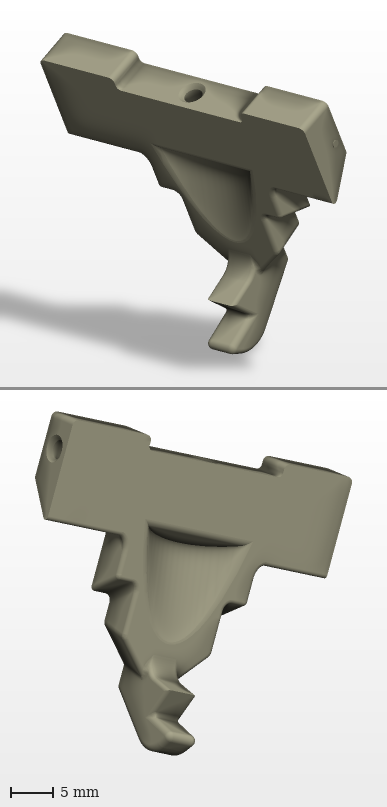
import cadquery as cq
import math

LEAN = 27.0
THICKNESS = 5.0
MID_Y = THICKNESS / 2

WING_LEFT = -21.2
WING_RIGHT = 19.25
WING_BACK_HEIGHT = 8.28
WING_FRONT_HEIGHT = WING_BACK_HEIGHT + THICKNESS
WING_CORNER = 0.75
WING_TO_STEM = 1.1

STEM_WIDTH = 18.9
STEM_FRONT_HEIGHT = 17.55
STEM_BACK_HEIGHT = STEM_FRONT_HEIGHT + THICKNESS * math.tan(math.radians(LEAN))
STEM_CORNER = 0.53
STEM_TO_NECK = 0.9

NECK_WIDTH = 12.8
NECK_BACK_HEIGHT = 23.65
FLANK_RISE = THICKNESS * math.tan(math.radians(9.0))
NECK_FRONT_HEIGHT = NECK_BACK_HEIGHT + FLANK_RISE
NECK_CORNER = 1.0

FRONT_ROUND = 0.53

HOOK_WIDTH = 4.2
ROOT = (0, -27.7)
TOOTH = (-5.75, -28.75)
NOTCH = (-3.45, -32.37)
TOE = (-9.3, -33.67)
HEEL = (-4.55, -37.53)
TAIL = (THICKNESS, -31.25)
HOOK_TOP = -24.35
ROOT_RADIUS = 2.5
NOTCH_RADIUS = 0.45
TOE_RADIUS = 0.75
HEEL_RADIUS = 4.3
UPPER_EDGE_ROUND = 0.5
LOWER_EDGE_ROUND = 0.75
HOOK_TO_NECK = 0.6

RECESS_CENTER = -0.25
RECESS_WIDTH = 19.3
RECESS_DEPTH = 1.8
RECESS_FILLET = 0.6

HOLE_DIAMETER = 2.27
COUNTERSINK_DIAMETER = 3.35
HOLE_DEPTH = 6.1
SIDE_HOLE_Z = -4.18

SCOOP_TOP = 10.5
SCOOP_END = 23.9
SCOOP_RADIUS = 8.85
SCOOP_ANGLE = math.radians(16.0)
SCOOP_ROUND = 0.97

DOT_DIAMETER = 0.95
DOT_HEIGHT = 0.12
DOT_Y = 3.8
DOT_Z = -5.8

FIND_REACH = 0.2


def side_prism(outline, x_start, x_end):
    """Extrude a closed (Y, Z) outline along X."""
    plane = cq.Workplane("YZ", origin=(x_start, 0, 0))
    return plane.polyline(outline).close().extrude(x_end - x_start)


def edges_near(body, x, y, z):
    """Select the edges whose middle lies at the given place."""
    target = cq.Vector(x, y, z)
    return body.newObject([e for e in body.edges().vals() if (e.Center() - target).Length < FIND_REACH])


def plate_section(front_height, back_height, x_start, x_end):
    """Slab of the plate whose bottom face slopes from front to back."""
    outline = [(0, 0), (THICKNESS, 0), (THICKNESS, -back_height), (0, -front_height)]
    return side_prism(outline, x_start, x_end)


def make_neck():
    """Tapered neck, swept backwards and upwards from the front face."""
    half = NECK_WIDTH / 2
    tip_half = HOOK_WIDTH / 4
    shoulder_z = -NECK_FRONT_HEIGHT
    tip_z = shoulder_z - (half - tip_half)
    outline = [
        (-half, -WING_FRONT_HEIGHT),
        (half, -WING_FRONT_HEIGHT),
        (half, shoulder_z),
        (tip_half, tip_z),
        (-tip_half, tip_z),
        (-half, shoulder_z),
    ]
    wire = cq.Wire.makePolygon([cq.Vector(x, 0, z) for x, z in outline], close=True)
    return cq.Workplane(cq.Solid.extrudeLinear(wire, [], cq.Vector(0, THICKNESS, FLANK_RISE)))


def make_plate():
    """Wings, stem and neck with their rounded outline and rounded lower front edges."""
    plate = plate_section(WING_FRONT_HEIGHT, WING_BACK_HEIGHT, WING_LEFT, WING_RIGHT)
    plate = plate.union(plate_section(STEM_FRONT_HEIGHT, STEM_BACK_HEIGHT, -STEM_WIDTH / 2, STEM_WIDTH / 2))
    plate = plate.union(make_neck())

    wing_bottom = -(WING_FRONT_HEIGHT + WING_BACK_HEIGHT) / 2
    stem_bottom = -(STEM_FRONT_HEIGHT + STEM_BACK_HEIGHT) / 2
    neck_bottom = -(NECK_FRONT_HEIGHT + NECK_BACK_HEIGHT) / 2
    corners = [
        (STEM_WIDTH, wing_bottom, WING_TO_STEM),
        (STEM_WIDTH, stem_bottom, STEM_CORNER),
        (NECK_WIDTH, stem_bottom, STEM_TO_NECK),
        (NECK_WIDTH, neck_bottom, NECK_CORNER),
    ]
    for width, z, radius in corners:
        for side in (-1, 1):
            plate = edges_near(plate, side * width / 2, MID_Y, z).fillet(radius)

    neck_tip = -NECK_FRONT_HEIGHT - (NECK_WIDTH / 2 - HOOK_WIDTH / 4)
    front_edges = plate.faces("<Y").edges().vals()
    lower_edges = [e for e in front_edges if neck_tip + FIND_REACH < e.Center().z < -WING_BACK_HEIGHT]
    return plate.newObject(lower_edges).fillet(FRONT_ROUND)


def round_hook_sides(hook, upper, radius):
    """Round the side edges of either the upper tooth or the rest of the hook."""
    picked = []
    for edge in hook.faces("<X or >X").edges().vals():
        middle = edge.Center()
        exposed = middle.y < THICKNESS - FIND_REACH and middle.z < HOOK_TOP - THICKNESS / 4
        on_tooth = middle.y < 0 and middle.z > (TOOTH[1] + NOTCH[1]) / 2 - FIND_REACH
        if exposed and on_tooth == upper:
            picked.append(edge)
    return hook.newObject(picked).fillet(radius)


def make_hook():
    """Two-toothed hook at the bottom of the neck."""
    outline = [(0, HOOK_TOP), ROOT, TOOTH, NOTCH, TOE, HEEL, TAIL, (THICKNESS, HOOK_TOP)]
    hook = side_prism(outline, -HOOK_WIDTH / 2, HOOK_WIDTH / 2)
    for corner, radius in ((ROOT, ROOT_RADIUS), (TOE, TOE_RADIUS), (HEEL, HEEL_RADIUS)):
        hook = edges_near(hook, 0, *corner).fillet(radius)
    hook = round_hook_sides(hook, True, UPPER_EDGE_ROUND)
    hook = round_hook_sides(hook, False, LOWER_EDGE_ROUND)
    return edges_near(hook, 0, *NOTCH).fillet(NOTCH_RADIUS)


def blend_hook(body):
    """Fillet the inside corners between the hook sides and the neck flanks."""
    hook_half = HOOK_WIDTH / 2
    corner_z = -(NECK_FRONT_HEIGHT + NECK_BACK_HEIGHT) / 2 - (NECK_WIDTH / 2 - hook_half)
    picked = []
    for edge in body.edges("not |X").vals():
        middle = edge.Center()
        along_side = abs(abs(middle.x) - hook_half) < 0.005
        if along_side and 0 < middle.y < THICKNESS and abs(middle.z - corner_z) < FIND_REACH:
            picked.append(edge)
    return body.newObject(picked).fillet(HOOK_TO_NECK)


def cut_recess(body):
    """Shallow recess across the top edge, and rounded corners on both wing tops."""
    block = cq.Workplane("XY").box(RECESS_WIDTH, 3 * THICKNESS, 2 * RECESS_DEPTH)
    block = block.edges("|Y and <Z").fillet(RECESS_FILLET).translate((RECESS_CENTER, 0, 0))
    body = body.cut(block)
    recess_half = RECESS_WIDTH / 2
    for x in (WING_LEFT, RECESS_CENTER - recess_half, RECESS_CENTER + recess_half, WING_RIGHT):
        body = edges_near(body, x, MID_Y, 0).fillet(WING_CORNER)
    return body


def countersunk_hole(origin, direction):
    """Blind hole with a 45 degree countersink at its mouth."""
    start = cq.Vector(*origin)
    axis = cq.Vector(*direction)
    sink_depth = (COUNTERSINK_DIAMETER - HOLE_DIAMETER) / 2
    bore = cq.Solid.makeCylinder(HOLE_DIAMETER / 2, HOLE_DEPTH, start, axis)
    sink = cq.Solid.makeCone(COUNTERSINK_DIAMETER / 2, HOLE_DIAMETER / 2, sink_depth, start, axis)
    return cq.Workplane(bore).union(cq.Workplane(sink))


def cut_scoop(body):
    """Finger scoop with a roof that is horizontal in the leaned part, and a rounded rim."""
    length = 2 * SCOOP_END
    axis = cq.Vector(0, math.sin(SCOOP_ANGLE), math.cos(SCOOP_ANGLE))
    to_center = cq.Vector(0, -math.cos(SCOOP_ANGLE), math.sin(SCOOP_ANGLE))
    start = cq.Vector(0, 0, -SCOOP_END) + to_center * SCOOP_RADIUS
    groove = cq.Workplane(cq.Solid.makeCylinder(SCOOP_RADIUS, length, start, axis))
    above_roof = cq.Workplane("XY").box(length, length, length, centered=(True, True, False))
    above_roof = above_roof.rotate((0, 0, 0), (1, 0, 0), -LEAN).translate((0, 0, -SCOOP_TOP))
    body = body.cut(groove.cut(above_roof))

    front_face = max((f for f in body.faces("|Y").vals() if f.Center().y < MID_Y), key=lambda f: f.Area())
    rim = [edge for wire in front_face.innerWires() for edge in wire.Edges()]
    return body.newObject(rim).fillet(SCOOP_ROUND)


def make_dot():
    """Small round raised dot on the right wing end."""
    plane = cq.Workplane("YZ", origin=(WING_RIGHT, DOT_Y, DOT_Z))
    return plane.circle(DOT_DIAMETER / 2).extrude(DOT_HEIGHT)


part = blend_hook(make_plate().union(make_hook()))
part = cut_recess(part)
part = part.cut(countersunk_hole((RECESS_CENTER, MID_Y, -RECESS_DEPTH), (0, 0, -1)))
part = part.cut(countersunk_hole((WING_LEFT, MID_Y, SIDE_HOLE_Z), (1, 0, 0)))
part = cut_scoop(part)
part = part.union(make_dot())
result = part.rotate((0, 0, 0), (1, 0, 0), LEAN)